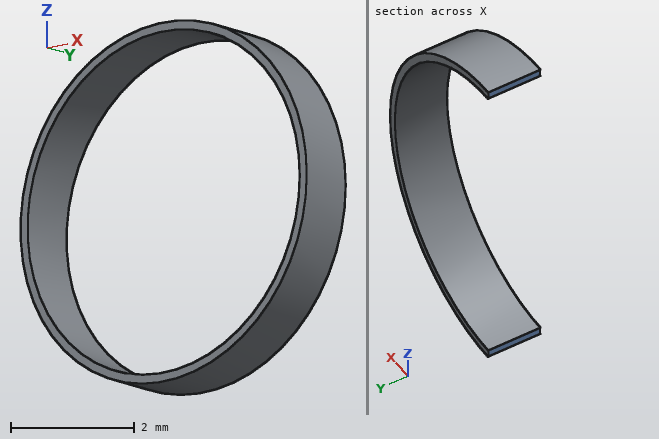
import cadquery as cq

outer_diameter = 6.0
wall_thickness = 0.15
ring_width = 1.0

outer_radius = outer_diameter / 2
inner_radius = outer_radius - wall_thickness

result = (
    cq.Workplane("XZ", origin=(0, ring_width / 2, 0))
    .circle(outer_radius)
    .circle(inner_radius)
    .extrude(ring_width)
)